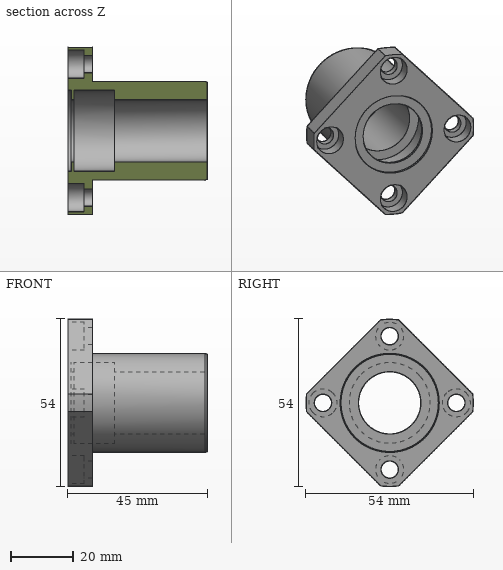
import cadquery as cq

total_length = 45.0
flange_diameter = 53.95
flange_flats = 42.0
flange_thickness = 8.0

sleeve_diameter = 32.0
bore_diameter = 20.0
end_chamfer_length = 0.8
end_chamfer_height = 0.3

recess_diameter = 26.05
recess_depth = 1.0
lip_thickness = 1.0
chamber_diameter = recess_diameter
chamber_end = total_length / 3

bolt_circle_diameter = 43.0
hole_count = 4
hole_diameter = 5.5
counterbore_diameter = 9.0
counterbore_depth = 5.15


def cylinder(diameter, start, length):
    """Cylinder about the X axis, from X = start."""
    return cq.Workplane("YZ", origin=(start, 0, 0)).circle(diameter / 2).extrude(length)


def make_flange():
    """Square standing on its corner, with the corners rounded to the flange diameter."""
    square = (
        cq.Workplane("YZ")
        .transformed(rotate=(0, 0, 45))
        .rect(flange_flats, flange_flats)
        .extrude(flange_thickness)
    )
    return square.intersect(cylinder(flange_diameter, 0, flange_thickness))


def make_sleeve():
    """Outer cylinder with a long, shallow chamfer at its free end."""
    radius = sleeve_diameter / 2
    chamfer_start = total_length - end_chamfer_length
    return (
        cq.Workplane("XY")
        .lineTo(0, radius)
        .lineTo(chamfer_start, radius)
        .lineTo(total_length, radius - end_chamfer_height)
        .lineTo(total_length, 0)
        .close()
        .revolve(360, (0, 0, 0), (1, 0, 0))
    )


def cut_interior(body):
    """Through bore, with the recess and the chamber separated by a lip."""
    chamber_start = recess_depth + lip_thickness
    body = body.cut(cylinder(bore_diameter, 0, total_length))
    body = body.cut(cylinder(recess_diameter, 0, recess_depth))
    return body.cut(cylinder(chamber_diameter, chamber_start, chamber_end - chamber_start))


def cut_mounting_holes(body):
    """Through holes in the flange corners, counterbored from the flange face."""
    for diameter, depth in (
        (hole_diameter, flange_thickness),
        (counterbore_diameter, counterbore_depth),
    ):
        holes = (
            cq.Workplane("YZ")
            .polarArray(bolt_circle_diameter / 2, 0, 360, hole_count)
            .circle(diameter / 2)
            .extrude(depth)
        )
        body = body.cut(holes)
    return body


body = make_flange().union(make_sleeve())
body = cut_interior(body)
result = cut_mounting_holes(body)